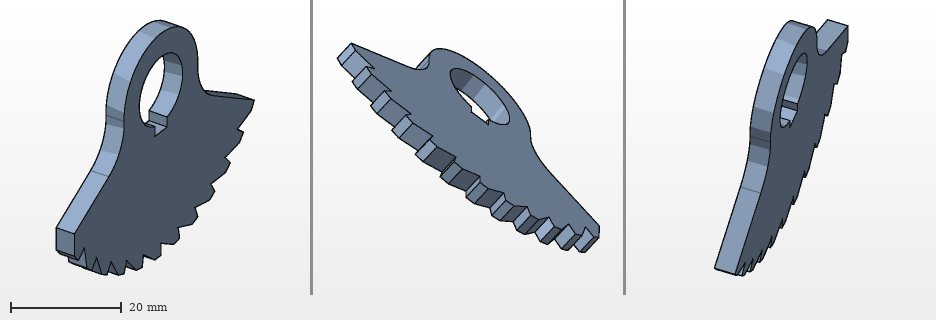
import cadquery as cq
import math

overall_width = 58.45
thickness = 4.0
boss_radius = 12.0
bore_radius = 7.0
key_width = 4.0
key_depth = 8.8
neck_radius = 10.0
tip_radius = 35.0
tip_land = 2.0
half_angle = 60
tooth_pitch = 10

root_radius = overall_width / math.sin(math.radians(half_angle)) - tip_radius


def polar(radius, angle):
    """(y, z) point at an angle in degrees from -Z, positive towards +Y."""
    a = math.radians(angle)
    return radius * math.sin(a), -radius * math.cos(a)


def land_end(angle):
    """Trailing end of a tooth land, square to the radial tooth face."""
    offset = math.degrees(math.atan(tip_land / tip_radius))
    return polar(math.hypot(tip_radius, tip_land), angle - offset)


neck_centre_distance = boss_radius + neck_radius
neck_offset_angle = math.degrees(math.asin(neck_radius / neck_centre_distance))
neck_centre_angle = half_angle + neck_offset_angle
side_tangent_radius = math.sqrt(neck_centre_distance**2 - neck_radius**2)


def neck_middle(side):
    """Middle of the neck arc; side is +1 for +Y and -1 for -Y."""
    centre_y, centre_z = polar(neck_centre_distance, side * neck_centre_angle)
    half_sweep = (90 - neck_offset_angle) / 2
    towards_arc = neck_centre_angle + 180 + half_sweep
    arc_y, arc_z = polar(neck_radius, side * towards_arc)
    return centre_y + arc_y, centre_z + arc_z


def sector_plate():
    """Boss, necks and toothed sector as one extruded outline."""
    outline = (
        cq.Workplane("YZ")
        .moveTo(*polar(boss_radius, -neck_centre_angle))
        .threePointArc((0, boss_radius), polar(boss_radius, neck_centre_angle))
        .threePointArc(neck_middle(1), polar(side_tangent_radius, half_angle))
    )
    for angle in range(half_angle, -half_angle, -tooth_pitch):
        outline = (
            outline.lineTo(*polar(tip_radius, angle))
            .lineTo(*land_end(angle))
            .lineTo(*polar(root_radius, angle - tooth_pitch))
        )
    outline = (
        outline.lineTo(*polar(side_tangent_radius, -half_angle))
        .threePointArc(neck_middle(-1), polar(boss_radius, -neck_centre_angle))
        .close()
    )
    return outline.extrude(thickness)


def keyed_bore():
    """Through bore with a keyway on its -Z side."""
    bore = cq.Workplane("YZ").circle(bore_radius).extrude(thickness)
    keyway = (
        cq.Workplane("YZ")
        .center(0, -key_depth / 2)
        .rect(key_width, key_depth)
        .extrude(thickness)
    )
    return bore.union(keyway)


result = sector_plate().cut(keyed_bore())